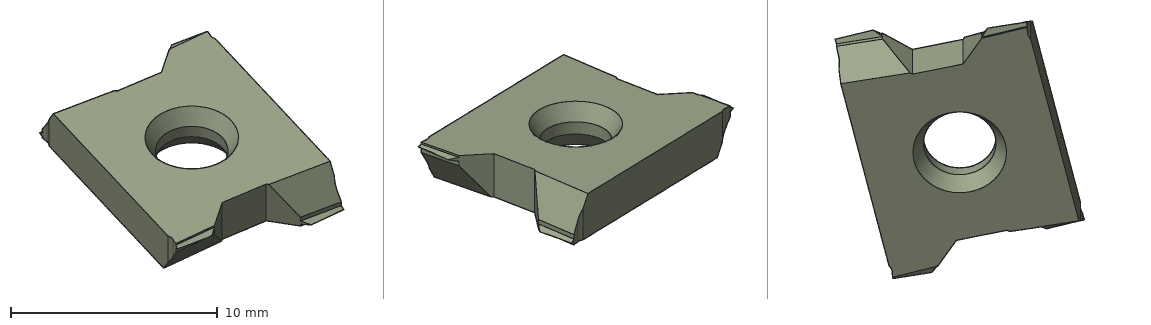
import cadquery as cq
import math

length = 12.69
width = 9.5
thickness = 2.4
half_width = width / 2

bore_diameter = 3.5
mouth_diameter = 4.52
mouth_depth = 0.86

waist_half_length = 4.76
waist_half_width = 1.25

dip_start = 5.39
dip_bottom = 5.72
dip_depth = 0.08
dip_bulge = 0.03

tooth_corner = 6.25
base_reach = 6.07
lip_height = 0.1
tip_height = 0.19
shoulder_height = 0.33
land_height = 0.57
relief_angle = 30.0
relief_run = (thickness - land_height) * math.tan(math.radians(relief_angle))

tooth_inner = waist_half_width + length / 2 - waist_half_length
tooth_span = half_width - tooth_inner
taper = (length / 2 - tooth_corner) / tooth_span


def quarter_plan():
    """Plan area of one +X +Y quarter, bounded by the dip and the 45 degree notch."""
    mid_dip = ((dip_start + dip_bottom) / 2, half_width - dip_depth / 2 - dip_bulge)
    return (
        cq.Workplane("XY", origin=(0, 0, -thickness / 2))
        .lineTo(waist_half_length, 0)
        .lineTo(waist_half_length, waist_half_width)
        .lineTo(length / 2, tooth_inner)
        .lineTo(tooth_corner, half_width)
        .lineTo(dip_bottom, half_width - dip_depth)
        .threePointArc(mid_dip, (dip_start, half_width))
        .lineTo(0, half_width)
        .close()
        .extrude(thickness)
    )


def tooth_section(distance):
    """Section points in X and Z at a distance inward from the long edge."""
    shift = taper * distance
    base = base_reach - shift
    tip = tooth_corner + shift
    bottom = -thickness / 2
    return [
        (0, bottom),
        (base, bottom),
        (base, bottom + lip_height),
        (tip, bottom + tip_height),
        (base, bottom + shoulder_height),
        (base, bottom + land_height),
        (base - relief_run, -bottom),
        (0, -bottom),
    ]


def tooth_envelope():
    """Tapered prism running from the long edge to the waist."""
    return (
        cq.Workplane("XZ", origin=(0, half_width, 0))
        .polyline(tooth_section(0))
        .close()
        .workplane(offset=half_width - waist_half_width)
        .polyline(tooth_section(half_width - waist_half_width))
        .close()
        .loft(ruled=True)
    )


def quarter():
    waist = cq.Workplane("XY").box(
        waist_half_length, waist_half_width, thickness, centered=(False, False, True)
    )
    return quarter_plan().intersect(tooth_envelope().union(waist))


def hole_cutter():
    """Revolved bore whose upper mouth flares as a cone."""
    bore_radius = bore_diameter / 2
    mouth_radius = mouth_diameter / 2
    top = thickness / 2
    straight = top - mouth_depth
    return (
        cq.Workplane("XZ")
        .moveTo(0, straight)
        .lineTo(0, -straight)
        .lineTo(bore_radius, -straight)
        .lineTo(bore_radius, straight)
        .lineTo(mouth_radius, top)
        .lineTo(0, top)
        .close()
        .revolve(360, (0, 0, 0), (0, 1, 0))
    )


corner = quarter()
end_pair = corner.union(corner.rotate((0, 0, 0), (1, 0, 0), 180))
body = end_pair.union(end_pair.rotate((0, 0, 0), (0, 0, 1), 180))

upper_hole = hole_cutter()
lower_hole = upper_hole.rotate((0, 0, 0), (1, 0, 0), 180)
result = body.cut(upper_hole).cut(lower_hole)